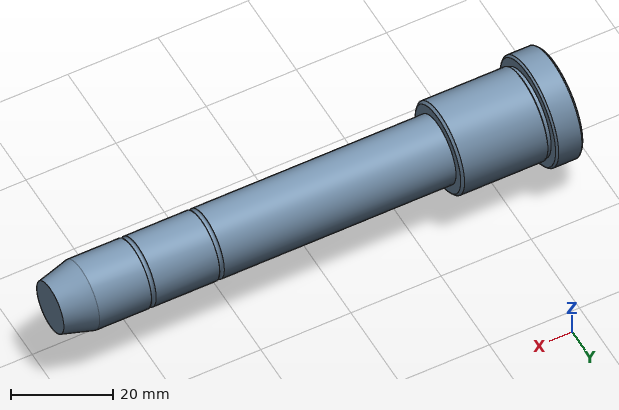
import cadquery as cq
import math

total_length = 112.0
head_diameter = 24.0
head_length = 6.0
head_chamfer = 0.5
collar_diameter = 20.0
collar_end = 26.0
collar_chamfer = 0.6
shaft_diameter = 15.0

relief_width = 0.9
relief_depth = 0.3

groove_starts = (77.4, 92.5)
groove_width = 1.0
groove_depth = 0.5

taper_length = 7.0
taper_angle = 15.0


def cylinder(start, end, diameter):
    """Solid cylinder along X between two stations."""
    return cq.Workplane("YZ", origin=(start, 0, 0)).circle(diameter / 2).extrude(end - start)


def make_head():
    return cylinder(0, head_length, head_diameter).edges().chamfer(head_chamfer)


def make_collar():
    relief_end = head_length + relief_width
    relief = cylinder(head_length, relief_end, collar_diameter - 2 * relief_depth)
    collar = cylinder(relief_end, collar_end, collar_diameter)
    collar = collar.faces(">X").chamfer(collar_chamfer)
    return relief.union(collar)


def make_shaft():
    shaft = cylinder(collar_end, total_length, shaft_diameter)
    taper_drop = taper_length * math.tan(math.radians(taper_angle))
    return shaft.faces(">X").edges().chamfer(taper_length, taper_drop)


def ring_groove(start):
    """Ring cutter whose section is an arc dipping below the shaft surface."""
    radius = shaft_diameter / 2
    return (
        cq.Workplane("XY")
        .moveTo(start, radius)
        .threePointArc((start + groove_width / 2, radius - groove_depth), (start + groove_width, radius))
        .lineTo(start + groove_width, radius + groove_depth)
        .lineTo(start, radius + groove_depth)
        .close()
        .revolve(360, (0, 0, 0), (1, 0, 0))
    )


result = make_head().union(make_collar()).union(make_shaft())
for groove_start in groove_starts:
    result = result.cut(ring_groove(groove_start))